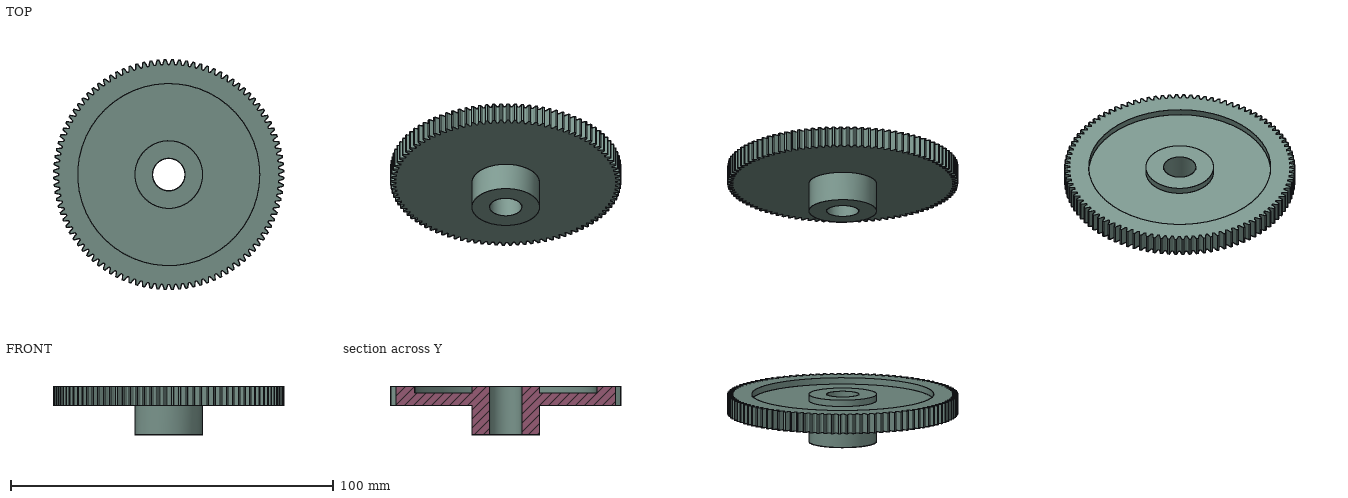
import cadquery as cq
import math

module = 0.7
tooth_count = 100
pressure_angle = math.radians(20)
dedendum_factor = 1.25
root_fillet_factor = 0.38

pitch_radius = module * tooth_count / 2
tip_radius = pitch_radius + module
root_radius = pitch_radius - dedendum_factor * module
base_radius = pitch_radius * math.cos(pressure_angle)

root_fillet_radius = root_fillet_factor * module
fillet_centre_radius = root_radius + root_fillet_radius
flank_start_roll = math.sqrt(fillet_centre_radius**2 - base_radius**2) - root_fillet_radius
flank_start_radius = math.hypot(base_radius, flank_start_roll)

total_height = 15.0
face_width = 6.0
hub_length = total_height - face_width
hub_diameter = 21.0
bore_diameter = 10.0
recess_diameter = 56.5
recess_depth = 2.0

gear_top = face_width


def involute(angle):
    """Polar angle swept by an involute at the given pressure angle."""
    return math.tan(angle) - angle


def half_tooth_angle(radius):
    """Angle between a tooth's centre line and its involute flank at a radius."""
    half_angle_at_pitch = math.pi / (2 * tooth_count)
    local_pressure_angle = math.acos(base_radius / radius)
    return half_angle_at_pitch + involute(pressure_angle) - involute(local_pressure_angle)


def polar_point(radius, angle):
    return (radius * math.cos(angle), radius * math.sin(angle))


def make_toothed_disc():
    tooth_pitch = 2 * math.pi / tooth_count
    flank_half = half_tooth_angle(flank_start_radius)
    pitch_half = half_tooth_angle(pitch_radius)
    tip_half = half_tooth_angle(tip_radius)
    root_half = half_tooth_angle(fillet_centre_radius) + root_fillet_radius / base_radius

    first_tooth = tooth_pitch / 2
    outline = cq.Workplane("XY").moveTo(*polar_point(root_radius, first_tooth - root_half))
    for index in range(tooth_count):
        centre = first_tooth + index * tooth_pitch
        next_space = centre + tooth_pitch / 2
        next_tooth = centre + tooth_pitch
        outline = outline.radiusArc(
            polar_point(flank_start_radius, centre - flank_half),
            root_fillet_radius,
        )
        outline = outline.threePointArc(
            polar_point(pitch_radius, centre - pitch_half),
            polar_point(tip_radius, centre - tip_half),
        )
        outline = outline.threePointArc(
            polar_point(tip_radius, centre),
            polar_point(tip_radius, centre + tip_half),
        )
        outline = outline.threePointArc(
            polar_point(pitch_radius, centre + pitch_half),
            polar_point(flank_start_radius, centre + flank_half),
        )
        outline = outline.radiusArc(
            polar_point(root_radius, centre + root_half),
            root_fillet_radius,
        )
        outline = outline.threePointArc(
            polar_point(root_radius, next_space),
            polar_point(root_radius, next_tooth - root_half),
        )
    return outline.close().extrude(face_width)


def make_recess():
    """Ring-shaped pocket between the rim and the hub in the upper face."""
    return (
        cq.Workplane("XY")
        .workplane(offset=gear_top - recess_depth)
        .circle(recess_diameter / 2)
        .circle(hub_diameter / 2)
        .extrude(recess_depth)
    )


def make_hub():
    return cq.Workplane("XY").circle(hub_diameter / 2).extrude(-hub_length)


def make_bore():
    return (
        cq.Workplane("XY")
        .workplane(offset=-hub_length)
        .circle(bore_diameter / 2)
        .extrude(total_height)
    )


result = make_toothed_disc().cut(make_recess()).union(make_hub()).cut(make_bore())